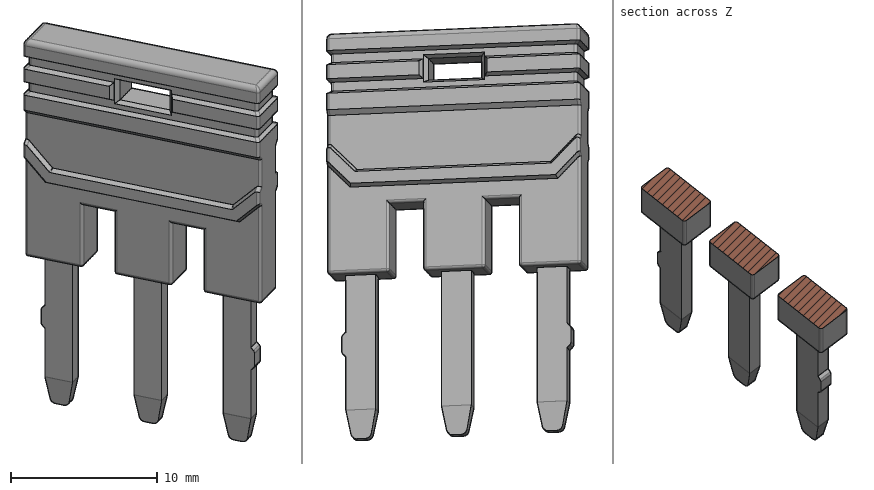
import cadquery as cq
import math

total_height = 28.2
body_width = 17.7
rib_thickness = 3.3

relief = 0.35
slope_height = 0.2
edge_radius = 0.2
crown_radius = 0.4
core_thickness = rib_thickness - 2 * relief
groove_end_depth = 0.25
groove_width = body_width - 2 * groove_end_depth

grip_bottom = 22.5
lower_rib_top = 24.2
middle_rib_bottom = 24.82
middle_rib_top = 26.2
upper_rib_bottom = 26.8

window_width = 3.72
window_bottom = 24.75
window_top = 26.28
rim_side = 0.28
rim_depth = 0.35
rib_gap_width = 4.35

pitch = 6.68
leg_bottom = 11.42
slot_top = 16.22
slot_width = 2.37
pin_width = 2.1
pin_thickness = 1.0
pin_embedment = 2.82
tip_height = 2.0
tip_width = 1.3
tip_thickness = 0.65
tip_radius = 0.42

tab_bottom = 5.72
tab_top = 7.47
tab_reach = 0.28
tab_radius = 0.28

ridge_bottom = 17.43
ridge_top = 18.65
ridge_top_half = 6.77
ridge_bottom_half = 7.25


def box_between(width, thickness, low, high):
    """Box centred in X and Y between two heights."""
    return (
        cq.Workplane("XY", origin=(0, 0, low))
        .rect(width, thickness)
        .extrude(high - low)
    )


def rounded_section(width, thickness, height):
    """Rectangle with rounded corners lying at the given height."""
    section = cq.Sketch().rect(width, thickness).vertices().fillet(edge_radius)
    return section.moved(cq.Location(cq.Vector(0, 0, height)))


def make_ridge():
    """V-shaped ridge on the front face, with 45 degree arms and sloped flanks."""
    half_width = body_width / 2
    arm_end = half_width + relief + slope_height
    arm_top = ridge_top + arm_end - ridge_top_half
    arm_bottom = ridge_bottom + arm_end - ridge_bottom_half
    right_half = [
        (ridge_bottom_half, ridge_bottom),
        (arm_end, arm_bottom),
        (arm_end, arm_top),
        (ridge_top_half, ridge_top),
    ]
    left_half = [(-x, z) for x, z in reversed(right_half)]
    flank_angle = math.degrees(math.atan2(slope_height, relief))
    ridge = (
        cq.Workplane("XZ", origin=(0, -core_thickness / 2, 0))
        .polyline(right_half + left_half)
        .close()
        .extrude(relief, taper=flank_angle)
    )
    return ridge.intersect(box_between(body_width, rib_thickness, leg_bottom, total_height))


def make_lower_housing():
    """Block with three legs and a ridge on each face, rounded along its outline."""
    hidden_top = (grip_bottom + lower_rib_top) / 2
    block = box_between(body_width, core_thickness, leg_bottom, hidden_top)
    for side in (-1, 1):
        slot = box_between(slot_width, core_thickness, leg_bottom, slot_top)
        block = block.cut(slot.translate((side * pitch / 2, 0, 0)))
    block = block.faces("<Z").edges("|Y").fillet(edge_radius)
    ridge = make_ridge()
    block = block.union(ridge).union(ridge.mirror("XZ"))
    end_edges = block.faces("<X or >X").edges("not(|Y)")
    leg_zone = cq.selectors.BoxSelector(
        (-body_width, -rib_thickness, 0),
        (body_width, rib_thickness, (slot_top + ridge_bottom) / 2),
    )
    leg_edges = block.edges(leg_zone).edges("not(|Y)")
    return block.newObject(end_edges.vals() + leg_edges.vals()).fillet(edge_radius)


def make_grip():
    """Three finger ribs separated by two grooves, with a rounded crown."""
    sections = [
        (body_width, core_thickness, grip_bottom),
        (body_width, rib_thickness, grip_bottom + relief),
        (body_width, rib_thickness, lower_rib_top - slope_height),
        (groove_width, core_thickness, lower_rib_top),
        (groove_width, core_thickness, middle_rib_bottom),
        (body_width, rib_thickness, middle_rib_bottom + slope_height),
        (body_width, rib_thickness, middle_rib_top - slope_height),
        (groove_width, core_thickness, middle_rib_top),
        (groove_width, core_thickness, upper_rib_bottom),
        (body_width, rib_thickness, upper_rib_bottom + slope_height),
    ]
    ribs = cq.Workplane("XY").placeSketch(*[rounded_section(*s) for s in sections]).loft(ruled=True)
    crown = box_between(body_width, rib_thickness, upper_rib_bottom + slope_height, total_height)
    crown = crown.faces(">Z").edges().fillet(crown_radius)
    crown = crown.edges("|Z").fillet(edge_radius)
    return ribs.union(crown)


def make_rib_gap():
    """Cutters that stop the middle rib short of the window with sloped ends."""
    inner = core_thickness / 2
    outer = rib_thickness / 2
    inner_half = rib_gap_width / 2
    outer_half = inner_half + slope_height
    gap = (
        cq.Workplane("XY", origin=(0, 0, middle_rib_bottom))
        .polyline([(-inner_half, inner), (inner_half, inner), (outer_half, outer), (-outer_half, outer)])
        .close()
        .extrude(middle_rib_top - middle_rib_bottom)
    )
    return gap.union(gap.mirror("XZ"))


def cut_window(housing):
    """Rectangular window through the grip with sloped rims on both faces."""
    width = window_width + 2 * rim_side
    height = window_top - window_bottom
    middle = (window_top + window_bottom) / 2
    rim = (
        cq.Workplane("XZ", origin=(0, -core_thickness / 2, middle))
        .rect(width, height + 2 * slope_height)
        .workplane(offset=-rim_depth)
        .rect(window_width, height)
        .loft(ruled=True)
    )
    window = box_between(window_width, rib_thickness, window_bottom, window_top)
    for cutter in (make_rib_gap(), window, rim, rim.mirror("XZ")):
        housing = housing.cut(cutter)
    return housing


def make_pin():
    """Flat contact pin with a tapered, rounded tip."""
    shaft = box_between(pin_width, pin_thickness, tip_height, leg_bottom + pin_embedment)
    tip = (
        cq.Workplane("XY")
        .rect(tip_width, tip_thickness)
        .workplane(offset=tip_height)
        .rect(pin_width, pin_thickness)
        .loft(ruled=True)
    )
    tip = tip.faces("<Z").edges("|Y").fillet(tip_radius)
    return shaft.union(tip)


def make_tab():
    """Latch tab projecting to +X from the side of a centred pin."""
    pin_side = pin_width / 2
    tab_face = pin_side + tab_reach
    tab = (
        cq.Workplane("XZ", origin=(0, pin_thickness / 2, 0))
        .polyline([
            (0, tab_bottom),
            (pin_side, tab_bottom),
            (tab_face, tab_bottom + tab_reach),
            (tab_face, tab_top - tab_reach),
            (pin_side, tab_top),
            (0, tab_top),
        ])
        .close()
        .extrude(pin_thickness)
    )
    return tab.faces(">X").edges("|Y").fillet(tab_radius)


result = cut_window(make_lower_housing().union(make_grip()))

outer_pin = make_pin().union(make_tab()).translate((pitch, 0, 0))
result = result.union(make_pin()).union(outer_pin).union(outer_pin.mirror("YZ"))